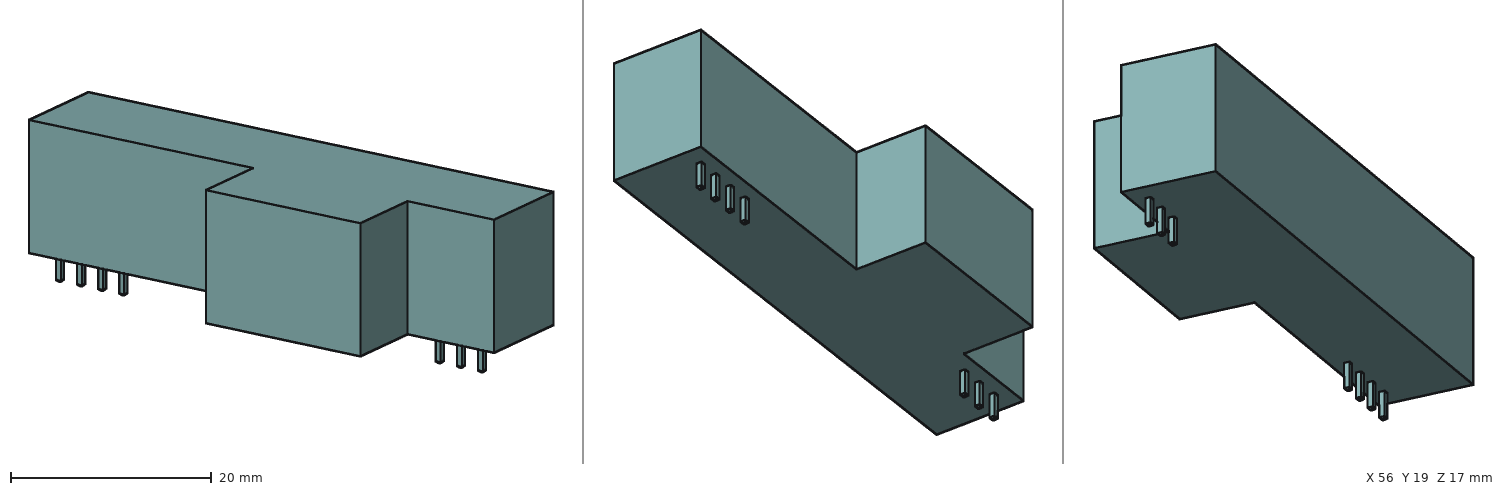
import cadquery as cq

body_length = 56.0
body_height = 14.0
bar_depth = 10.6
total_depth = 19.0
block_depth = total_depth - bar_depth
block_start = 27.0
block_width = 18.6

pin_pitch = 2.54
pin_size = 0.6
pin_length = 3.0
tip_chamfer = 0.2
left_pin_slots = [0, 1, 2, 3]
right_pin_slots = [18, 19, 20]
first_pin_x = 2.54
pin_row_y = 1.8


def make_body():
    """Bar and block, with the bar's front left bottom corner at the origin."""
    bar = cq.Workplane("XY").box(body_length, bar_depth, body_height, centered=False)
    block = (
        cq.Workplane("XY")
        .box(block_width, block_depth, body_height, centered=False)
        .translate((block_start, -block_depth, 0))
    )
    return bar.union(block)


def make_pin(slot):
    """Square pin hanging below the bar, with its lower end chamfered."""
    return (
        cq.Workplane("XY")
        .rect(pin_size, pin_size)
        .extrude(-pin_length)
        .faces("<Z")
        .chamfer(tip_chamfer)
        .translate((first_pin_x + slot * pin_pitch, pin_row_y, 0))
    )


result = make_body()
for pin_slot in left_pin_slots + right_pin_slots:
    result = result.union(make_pin(pin_slot))